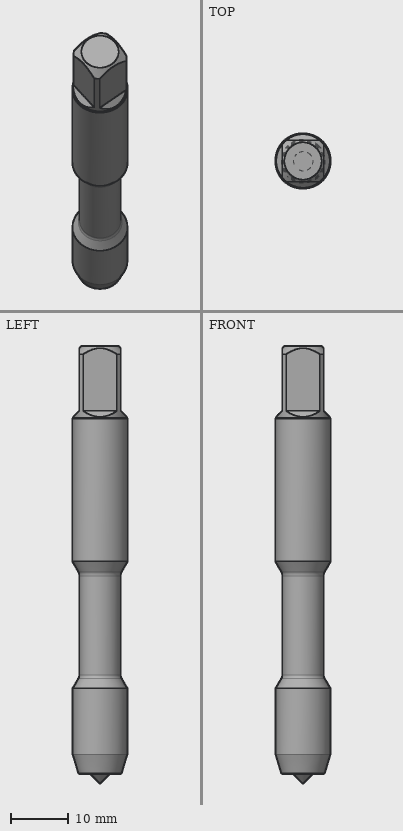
import cadquery as cq
import math


TOTAL_LENGTH = 76.3

HEAD_DIAMETER = 9.6
HEAD_TOP_Z = 16.65
TAPER_TOP_Z = 5.2
TAPER_BOTTOM_Z = 1.9
TAPER_BOTTOM_DIAMETER = 7.6
END_FACE_Z = 1.7
END_FACE_DIAMETER = 7.0
POINT_DIAMETER = 2 * END_FACE_Z

NECK_DIAMETER = 7.25
NECK_CONE_ANGLE = math.radians(30)
NECK_FILLET_RADIUS = 1.3

SHANK_DIAMETER = 9.7
SHANK_BOTTOM_Z = 38.8
SHANK_TOP_Z = 63.65

SQUARE_ROUND_DIAMETER = 9.3
SQUARE_SIDE = 7.25
SQUARE_BOTTOM_Z = 65.0
TOP_FACE_DIAMETER = 6.5


def neck_transition(outer_radius):
    """Return (cone length, arc length, cone end radius, arc middle axial offset, arc middle radius).

    Axial lengths run from the large end of the cone towards the neck.
    """
    neck_radius = NECK_DIAMETER / 2
    arc_length = NECK_FILLET_RADIUS * math.sin(NECK_CONE_ANGLE)
    cone_end_radius = neck_radius + NECK_FILLET_RADIUS * (1 - math.cos(NECK_CONE_ANGLE))
    cone_length = (outer_radius - cone_end_radius) / math.tan(NECK_CONE_ANGLE)
    half_angle = NECK_CONE_ANGLE / 2
    middle_offset = cone_length + arc_length - NECK_FILLET_RADIUS * math.sin(half_angle)
    middle_radius = neck_radius + NECK_FILLET_RADIUS * (1 - math.cos(half_angle))
    return cone_length, arc_length, cone_end_radius, middle_offset, middle_radius


def make_cutting_head():
    """Cylindrical head with a tapered lead, a bevelled end edge and a conical point."""
    head_radius = HEAD_DIAMETER / 2
    return (
        cq.Workplane("XZ")
        .moveTo(0, 0)
        .lineTo(POINT_DIAMETER / 2, END_FACE_Z)
        .lineTo(END_FACE_DIAMETER / 2, END_FACE_Z)
        .lineTo(TAPER_BOTTOM_DIAMETER / 2, TAPER_BOTTOM_Z)
        .lineTo(head_radius, TAPER_TOP_Z)
        .lineTo(head_radius, HEAD_TOP_Z)
        .lineTo(0, HEAD_TOP_Z)
        .close()
        .revolve(360, (0, 0, 0), (0, 1, 0))
    )


def make_turned_shank():
    """Neck, shank and the chamfered round end, before the flats are cut."""
    head_radius = HEAD_DIAMETER / 2
    neck_radius = NECK_DIAMETER / 2
    shank_radius = SHANK_DIAMETER / 2
    end_radius = SQUARE_ROUND_DIAMETER / 2
    top_radius = TOP_FACE_DIAMETER / 2
    shoulder_chamfer = shank_radius - end_radius
    top_chamfer = end_radius - top_radius
    low_cone, low_arc, cone_end_radius, low_middle, middle_radius = neck_transition(head_radius)
    high_cone, high_arc, _, high_middle, _ = neck_transition(shank_radius)
    return (
        cq.Workplane("XZ")
        .moveTo(0, HEAD_TOP_Z)
        .lineTo(head_radius, HEAD_TOP_Z)
        .lineTo(cone_end_radius, HEAD_TOP_Z + low_cone)
        .threePointArc(
            (middle_radius, HEAD_TOP_Z + low_middle),
            (neck_radius, HEAD_TOP_Z + low_cone + low_arc),
        )
        .lineTo(neck_radius, SHANK_BOTTOM_Z - high_cone - high_arc)
        .threePointArc(
            (middle_radius, SHANK_BOTTOM_Z - high_middle),
            (cone_end_radius, SHANK_BOTTOM_Z - high_cone),
        )
        .lineTo(shank_radius, SHANK_BOTTOM_Z)
        .lineTo(shank_radius, SHANK_TOP_Z)
        .lineTo(end_radius, SHANK_TOP_Z + shoulder_chamfer)
        .lineTo(end_radius, TOTAL_LENGTH - top_chamfer)
        .lineTo(top_radius, TOTAL_LENGTH)
        .lineTo(0, TOTAL_LENGTH)
        .close()
        .revolve(360, (0, 0, 0), (0, 1, 0))
    )


def make_flat_cutter():
    """Cutter for the +X flat, with a 45 degree ledge sloping down and outwards."""
    inner_x = SQUARE_SIDE / 2
    outer_x = SHANK_DIAMETER / 2
    return (
        cq.Workplane("XZ")
        .moveTo(inner_x, SQUARE_BOTTOM_Z)
        .lineTo(outer_x, SQUARE_BOTTOM_Z - (outer_x - inner_x))
        .lineTo(outer_x, TOTAL_LENGTH)
        .lineTo(inner_x, TOTAL_LENGTH)
        .close()
        .extrude(SHANK_DIAMETER / 2, both=True)
    )


def make_shank():
    """Turned shank with four flats forming the driving square."""
    shank = make_turned_shank()
    cutter = make_flat_cutter()
    for angle in (0, 90, 180, 270):
        shank = shank.cut(cutter.rotate((0, 0, 0), (0, 0, 1), angle))
    return shank


cutting_head = make_cutting_head()
shank = make_shank()

result = cq.Compound.makeCompound([cutting_head.val(), shank.val()])